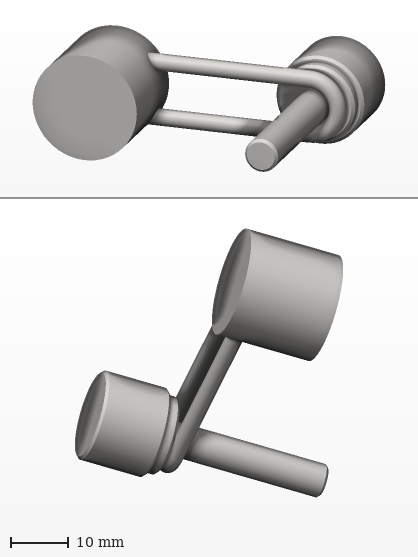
import cadquery as cq

overall_length = 54.5

knob_diameter = 19.0
knob_length = 17.0

head_diameter = 16.0
head_length = 12.0
collar_diameter = 14.0
collar_length = 2.0
edge_chamfer = 0.5

pin_diameter = 6.0
pin_length = 29.0

wire_diameter = 3.0
wire_spacing = 10.05

knob_x = -(overall_length - knob_diameter / 2 - head_diameter / 2)
collar_front_y = -collar_length
wire_y = collar_front_y - wire_diameter / 2
bend_radius = wire_spacing / 2
bend_inner_radius = bend_radius - wire_diameter / 2
bend_x = pin_diameter / 2 - bend_inner_radius


def cylinder_towards_front(x, back_y, diameter, length):
    """Cylinder along Y whose back face is at back_y."""
    return cq.Workplane("XZ", origin=(x, back_y, 0)).circle(diameter / 2).extrude(length)


def make_knob():
    return cylinder_towards_front(knob_x, 0, knob_diameter, knob_length)


def make_head():
    barrel = cylinder_towards_front(0, head_length, head_diameter, head_length)
    barrel = barrel.faces("<Y or >Y").edges().chamfer(edge_chamfer)
    collar = cylinder_towards_front(0, 0, collar_diameter, collar_length)
    collar = collar.faces("<Y").edges().chamfer(edge_chamfer)
    return barrel.union(collar)


def make_pin():
    pin = cylinder_towards_front(0, collar_front_y, pin_diameter, pin_length)
    return pin.faces("<Y").edges().chamfer(edge_chamfer)


def make_wire(knob):
    """U-shaped round wire whose two ends are trimmed to the side of the knob."""
    path = (
        cq.Workplane("XZ", origin=(0, wire_y, 0))
        .moveTo(knob_x, bend_radius)
        .lineTo(bend_x, bend_radius)
        .threePointArc((bend_x + bend_radius, 0), (bend_x, -bend_radius))
        .lineTo(knob_x, -bend_radius)
    )
    section = cq.Workplane("YZ", origin=(knob_x, wire_y, bend_radius)).circle(wire_diameter / 2)
    return section.sweep(path).cut(knob)


knob = make_knob()
head = make_head()
pin = make_pin()
wire = make_wire(knob)

bodies = [body.solids().val() for body in (knob, head, pin, wire)]
result = cq.Compound.makeCompound(bodies)